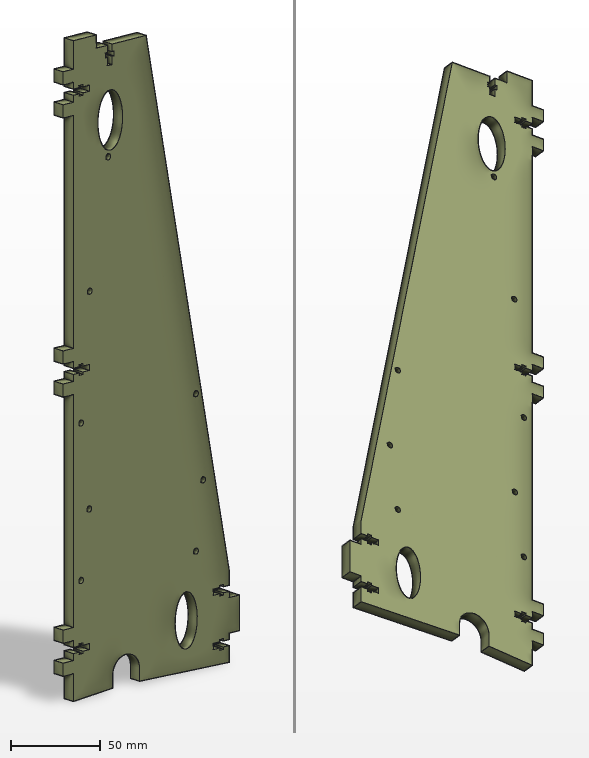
import cadquery as cq

thickness = 7.5
total_height = 383.5
body_depth = 116.5
tab_length = thickness

slope_start_z = 53.5
slope_end_y = 54.5
top_tab_depth = 17.3
shoulder_z = total_height - tab_length

arch_z = 2.3
back_foot_z = 0.5

notch_y = 39.5
notch_width = 20.0
notch_top_z = 20.0

back_pair_middle_z = 192.0
back_pair_pitch = 162.0
back_tab_height = 7.5
back_tab_gap = 11.5

front_tab_z = 27.2
front_tab_height = 20.7
front_slot_offset = 15.7

slot_width = 3.5
slot_depth = 12.0
nut_width = 6.0
nut_thickness = 2.5
nut_distance = 5.8
top_slot_y = 27.2

ovals = [
    (27.5, 332.3, 18.5, 35.0),
    (84.5, 30.7, 16.5, 33.0),
]

hole_diameter = 3.5
hole_centres = [
    (26.0, 311.0),
    (12.3, 236.0),
    (91.7, 160.8),
    (5.8, 160.8),
    (97.0, 109.7),
    (12.0, 109.7),
    (91.7, 69.5),
    (5.8, 69.5),
]


def plane():
    """Sketch plane whose local axes are Y and Z, extruding towards +X."""
    return cq.Workplane("YZ")


def block(y, z, size_y, size_z):
    """Full-thickness block centred on (y, z)."""
    return plane().center(y, z).rect(size_y, size_z).extrude(thickness)


def screw_slot(y, z, inward_y, inward_z):
    """Slot entering the plate at edge point (y, z) along a unit inward direction, with its nut pocket."""
    along_y = abs(inward_y)
    along_z = abs(inward_z)
    slot = block(
        y + inward_y * slot_depth / 2,
        z + inward_z * slot_depth / 2,
        along_y * slot_depth + along_z * slot_width,
        along_z * slot_depth + along_y * slot_width,
    )
    nut_pocket = block(
        y + inward_y * nut_distance,
        z + inward_z * nut_distance,
        along_y * nut_thickness + along_z * nut_width,
        along_z * nut_thickness + along_y * nut_width,
    )
    return slot.union(nut_pocket)


def body():
    """Tapered plate with the bottom notch."""
    notch_radius = notch_width / 2
    notch_back = notch_y - notch_radius
    notch_front = notch_y + notch_radius
    notch_spring_z = notch_top_z - notch_radius
    return (
        plane()
        .moveTo(0, back_foot_z)
        .lineTo(notch_back, arch_z)
        .lineTo(notch_back, notch_spring_z)
        .threePointArc((notch_y, notch_top_z), (notch_front, notch_spring_z))
        .lineTo(notch_front, arch_z)
        .lineTo(body_depth, 0)
        .lineTo(body_depth, slope_start_z)
        .lineTo(slope_end_y, shoulder_z)
        .lineTo(top_tab_depth, shoulder_z)
        .lineTo(top_tab_depth, total_height)
        .lineTo(0, total_height)
        .close()
        .extrude(thickness)
    )


result = body()

tab_offset = (back_tab_gap + back_tab_height) / 2
for step in (-1, 0, 1):
    pair_z = back_pair_middle_z + step * back_pair_pitch
    for side in (-1, 1):
        tab_z = pair_z + side * tab_offset
        result = result.union(block(-tab_length / 2, tab_z, tab_length, back_tab_height))
    result = result.cut(screw_slot(0, pair_z, 1, 0))

result = result.union(block(body_depth + tab_length / 2, front_tab_z, tab_length, front_tab_height))
for side in (-1, 1):
    result = result.cut(screw_slot(body_depth, front_tab_z + side * front_slot_offset, -1, 0))

result = result.cut(screw_slot(top_slot_y, shoulder_z, 0, -1))

for y, z, size_y, size_z in ovals:
    result = result.cut(plane().center(y, z).ellipse(size_y / 2, size_z / 2).extrude(thickness))

result = result.cut(plane().pushPoints(hole_centres).circle(hole_diameter / 2).extrude(thickness))